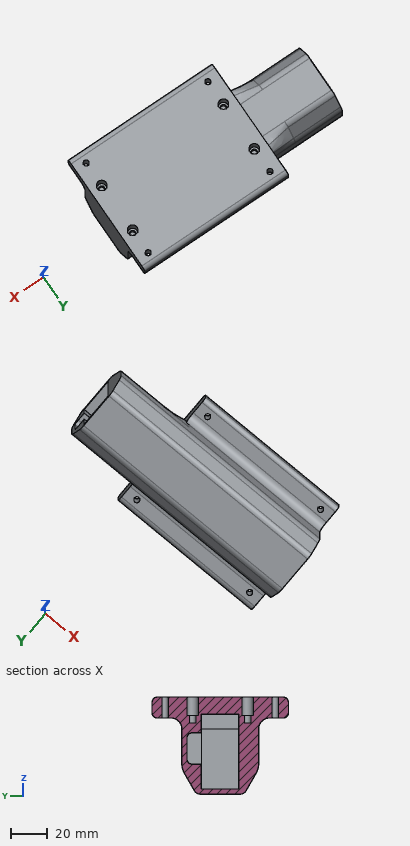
import cadquery as cq
import math

LENGTH = 141.1

BODY_HALF_WIDTH = 21.0
BODY_HEIGHT = 46.3
FLAT_HALF_WIDTH = 13.0
SLANT_ANGLE = 30.0
SIDE_RADIUS = 12.0
EDGE_RADIUS = 4.0
TAPER_START = 31.0
TAPER_END = 48.1

PLATE_START = 46.5
PLATE_WIDTH = 74.4
PLATE_TOP = 53.0
PLATE_THICKNESS = 11.6
PLATE_EDGE_RADIUS = 3.0
NECK_RADIUS = 5.6

WALL = 3.0
BORE_WIDTH = 20.3
BORE_OFFSET = 0.1
BORE_HEIGHT = 40.6
STOP_DROP = 8.0
STOP_LENGTH = 8.0
SLOT_REACH = 18.0
SLOT_HEIGHT = 17.0
SLOT_MID_HEIGHT = 25.0
SLOT_RADIUS = 2.7

HOLE_COLUMNS = (53.9, 134.1)
SMALL_HOLE_Y = 30.0
SMALL_HOLE_DIAMETER = 3.2
SCREW_HOLE_Y = 15.0
COUNTERBORE_DIAMETER = 5.8
COUNTERBORE_DEPTH = 10.0
PILOT_DIAMETER = 3.4
PILOT_DEPTH = 14.1


def blend(corner, before, after, radius):
    """Start, middle and end of a tangent arc that rounds a corner between two unit directions."""
    turn = math.acos(before[0] * after[0] + before[1] * after[1])
    setback = radius * math.tan(turn / 2)
    sagitta_gap = radius / math.cos(turn / 2) - radius
    inward = (after[0] - before[0], after[1] - before[1])
    size = math.hypot(*inward)
    start = (corner[0] - setback * before[0], corner[1] - setback * before[1])
    middle = (corner[0] + sagitta_gap * inward[0] / size, corner[1] + sagitta_gap * inward[1] / size)
    end = (corner[0] + setback * after[0], corner[1] + setback * after[1])
    return start, middle, end


def mirrored(points):
    return [(-y, z) for y, z in points]


def flipped(points):
    return [(y, BODY_HEIGHT - z) for y, z in points]


SLANT = (math.sin(math.radians(SLANT_ANGLE)), math.cos(math.radians(SLANT_ANGLE)))
CORNER_HEIGHT = (BODY_HALF_WIDTH - FLAT_HALF_WIDTH) / math.tan(math.radians(SLANT_ANGLE))
EDGE_ARC = blend((FLAT_HALF_WIDTH, 0), (1, 0), SLANT, EDGE_RADIUS)
SIDE_ARC = blend((BODY_HALF_WIDTH, CORNER_HEIGHT), SLANT, (0, 1), SIDE_RADIUS)
SHOULDER_ARC = blend((BODY_HALF_WIDTH, BODY_HEIGHT), (0, 1), (-1, 0), EDGE_RADIUS)


def body_section(x, square_shoulders):
    """Closed body outline at x; both variants have the same number of edges so they can be lofted."""
    side_start, side_middle, side_end = flipped(SIDE_ARC)[::-1]
    edge_start, edge_middle, edge_end = flipped(EDGE_ARC)[::-1]
    outline = (
        cq.Workplane("YZ", origin=(x, 0, 0))
        .moveTo(*EDGE_ARC[0])
        .threePointArc(*EDGE_ARC[1:])
        .lineTo(*SIDE_ARC[0])
        .threePointArc(*SIDE_ARC[1:])
        .lineTo(*side_start)
    )
    if square_shoulders:
        left_arc = mirrored(SHOULDER_ARC)[::-1]
        outline = (
            outline.lineTo(*SHOULDER_ARC[0])
            .threePointArc(*SHOULDER_ARC[1:])
            .lineTo(*edge_end)
            .lineTo(-edge_end[0], edge_end[1])
            .lineTo(*left_arc[0])
            .threePointArc(*left_arc[1:])
            .lineTo(-side_start[0], side_start[1])
        )
    else:
        outline = (
            outline.threePointArc(side_middle, side_end)
            .lineTo(*edge_start)
            .threePointArc(edge_middle, edge_end)
            .lineTo(-edge_end[0], edge_end[1])
            .threePointArc(*mirrored([edge_middle, edge_start]))
            .lineTo(-side_end[0], side_end[1])
            .threePointArc(*mirrored([side_middle, side_start]))
        )
    left_side = mirrored(SIDE_ARC)[::-1]
    left_edge = mirrored(EDGE_ARC)[::-1]
    return (
        outline.lineTo(*left_side[0])
        .threePointArc(*left_side[1:])
        .lineTo(*left_edge[0])
        .threePointArc(*left_edge[1:])
        .close()
    )


def make_body():
    front = body_section(0, False).extrude(TAPER_START)
    taper_wires = [
        body_section(TAPER_START, False).val(),
        body_section(TAPER_END, True).val(),
    ]
    taper = cq.Workplane(cq.Solid.makeLoft(taper_wires, True))
    rear = body_section(TAPER_END, True).extrude(LENGTH - TAPER_END)
    return front.union(taper).union(rear)


def make_plate():
    """Plate with rounded long edges and a flared neck that meets the body sides."""
    length = LENGTH - PLATE_START
    underside = PLATE_TOP - PLATE_THICKNESS
    slab = (
        cq.Workplane("YZ", origin=(PLATE_START, 0, 0))
        .center(0, PLATE_TOP - PLATE_THICKNESS / 2)
        .rect(PLATE_WIDTH, PLATE_THICKNESS)
        .extrude(length)
        .edges("|X")
        .fillet(PLATE_EDGE_RADIUS)
    )
    neck_foot = underside - NECK_RADIUS
    neck_half_width = BODY_HALF_WIDTH + NECK_RADIUS
    neck = (
        cq.Workplane("YZ", origin=(PLATE_START, 0, 0))
        .center(0, (underside + neck_foot) / 2)
        .rect(2 * neck_half_width, NECK_RADIUS)
        .extrude(length)
    )
    hollows = (
        cq.Workplane("YZ", origin=(PLATE_START, 0, 0))
        .pushPoints([(-neck_half_width, neck_foot), (neck_half_width, neck_foot)])
        .circle(NECK_RADIUS)
        .extrude(length)
    )
    return slab.union(neck.cut(hollows))


def make_cavity():
    """Blind bore open at the front, with a ceiling ledge at its end and a slot along its +Y wall."""
    depth = LENGTH - WALL
    bore = cq.Workplane("XY").box(depth, BORE_WIDTH, BORE_HEIGHT, centered=(False, True, False))
    stop = (
        cq.Workplane("XY")
        .box(STOP_LENGTH, BORE_WIDTH, STOP_DROP, centered=(False, True, False))
        .translate((depth - STOP_LENGTH, 0, BORE_HEIGHT - STOP_DROP))
    )
    slot = (
        cq.Workplane("XY")
        .box(depth - STOP_LENGTH, SLOT_REACH, SLOT_HEIGHT, centered=(False, False, True))
        .edges("|X and >Y")
        .fillet(SLOT_RADIUS)
        .translate((0, 0, SLOT_MID_HEIGHT))
    )
    return bore.cut(stop).translate((0, BORE_OFFSET, WALL)).union(slot)


def hole_points(y):
    return [(x, side * y) for x in HOLE_COLUMNS for side in (-1, 1)]


def drill(points, diameter, depth):
    return (
        cq.Workplane("XY", origin=(0, 0, PLATE_TOP))
        .pushPoints(points)
        .circle(diameter / 2)
        .extrude(-depth)
    )


small_holes = drill(hole_points(SMALL_HOLE_Y), SMALL_HOLE_DIAMETER, PLATE_THICKNESS)
counterbores = drill(hole_points(SCREW_HOLE_Y), COUNTERBORE_DIAMETER, COUNTERBORE_DEPTH)
pilots = drill(hole_points(SCREW_HOLE_Y), PILOT_DIAMETER, PILOT_DEPTH)

result = make_body().union(make_plate()).cut(make_cavity())
result = result.cut(small_holes).cut(counterbores).cut(pilots)